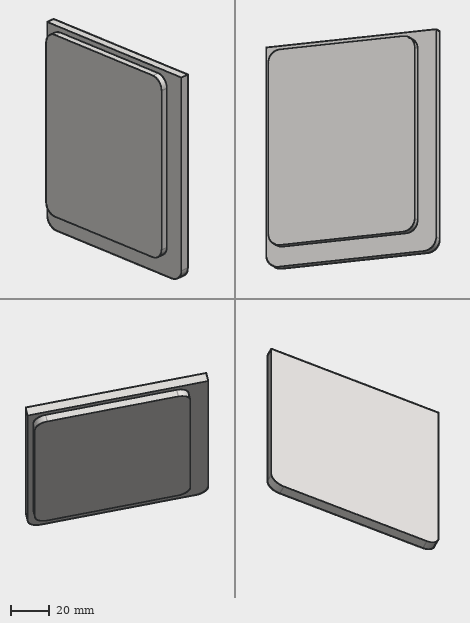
import cadquery as cq

plate_width = 96.45
plate_height = 118.84
plate_thickness = 5.0
plate_corner_radius = 7.0

pad_thickness = 4.0
pad_corner_radius = 6.5
narrow_margin = 3.0
wide_margin = 10.5

pad_width = plate_width - narrow_margin - wide_margin
pad_height = plate_height - narrow_margin - wide_margin
pad_center_x = (narrow_margin - wide_margin) / 2
pad_center_z = plate_height / 2 + (wide_margin - narrow_margin) / 2


def make_plate():
    """Flat plate with square top corners and rounded bottom corners."""
    plate = cq.Workplane("XY").box(
        plate_width, plate_thickness, plate_height, centered=(True, False, False)
    )
    return plate.faces("<Z").edges("|Y").fillet(plate_corner_radius)


def make_pad():
    """Rounded pad standing out from the plate's Y = 0 face toward -Y."""
    pad = cq.Workplane("XY").box(pad_width, pad_thickness, pad_height)
    pad = pad.edges("|Y").fillet(pad_corner_radius)
    return pad.translate((pad_center_x, -pad_thickness / 2, pad_center_z))


result = make_plate().union(make_pad())